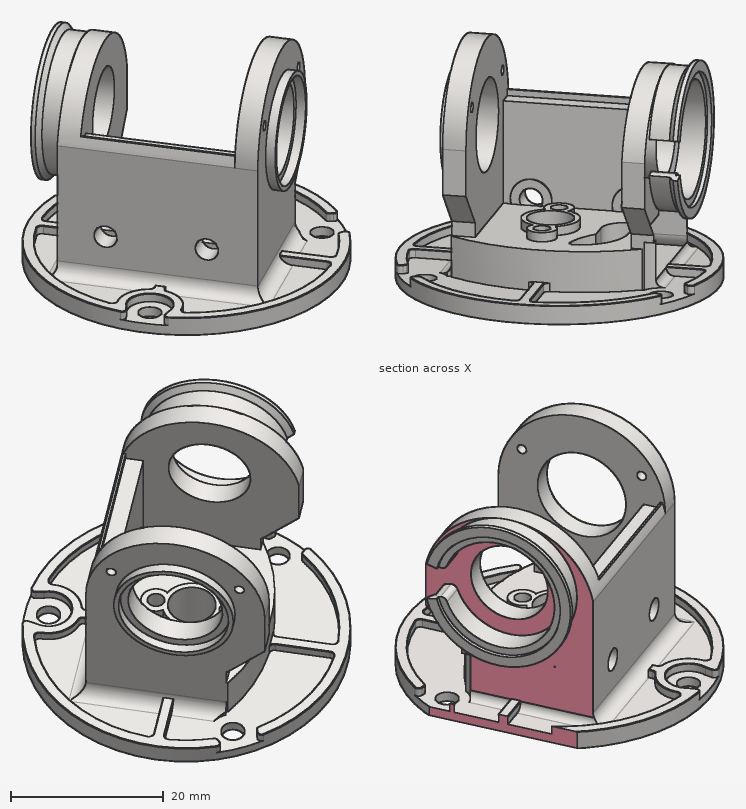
import cadquery as cq
import math

base_radius = 21.5
floor_z = 1.38
rim_z = 2.6
rim_width = 1.55
rib_width = 1.4
rib_overlap = 1.3
back_rib_start = 10.3
pocket_corner_radius = 0.7
rim_end_radius = 0.55
rim_edge_chamfer = 0.1

screw_circle_radius = 18.35
screw_angles = (30, 150, 270)
screw_hole_radius = 1.55
clearance_radius = 3.05
opening_half_width = 2.32
clearance_top_z = 7.9
collar_radius = 4.4

axis_y = 0.9
axis_z = 20.35
left_x = -14.55
right_x = 12.65
left_cheek_thickness = 3.05
right_cheek_thickness = 3.15
cheek_radius = 11.9
left_crown_height = 9.6
cheek_foot_y = 7.7
cheek_chamfer_z = 14.05
wall_thickness = 3.1
wall_top_z = 21.85
wall_ridge_y = -10.28
wall_ledge_z = 21.0
wall_hole_radius = 1.55
wall_hole_z = 7.75
wall_hole_xs = (-8.0, 5.7)
wall_pad_radius = 2.8
wall_pad_height = 0.15
left_skirt_radius = 1.1
skirt_radius = 1.95
front_y = axis_y - cheek_radius
back_y = axis_y + cheek_radius
wall_back_y = front_y + wall_thickness

deck_z = 6.95
deck_arc_radius = 25.25
deck_arc_center_y = -13.95
shaft_x = 1.0
shaft_hole_radius = 3.15
shaft_boss_radius = 3.85
shaft_screw_radius = 1.1
shaft_screw_boss_radius = 1.98
shaft_screw_offset = 4.77
shaft_boss_height = 1.25

hub_radius = 9.6
hub_length = 4.0
lip_radius = 10.4
lip_width = 0.6
lip_taper = 0.7
hub_bore_radius = 7.9
hub_recess_radius = 8.95
hub_recess_depth = 0.55
hub_gap_half_angle = 15
hub_gap_corner_radius = 0.8
left_bore_radius = 5.45

right_hub_radius = 7.95
right_hub_length = 1.3
right_hub_bore_radius = 7.3
right_bore_radius = 6.28
pin_hole_radius = 0.65
pin_circle_radius = 9.85
pin_angles = (30, 150)


def cylinder_z(x, y, radius, bottom, top):
    return cq.Workplane("XY", origin=(x, y, bottom)).circle(radius).extrude(top - bottom)


def cylinder_x(radius, start, end):
    """Cylinder on the pivot axis from x = start to x = end."""
    return cq.Workplane("YZ", origin=(start, axis_y, axis_z)).circle(radius).extrude(end - start)


def box(x0, x1, y0, y1, z0, z1):
    return cq.Workplane("XY").box(x1 - x0, y1 - y0, z1 - z0, centered=False).translate((x0, y0, z0))


def screw_center(angle):
    turn = math.radians(angle)
    return screw_circle_radius * math.cos(turn), screw_circle_radius * math.sin(turn)


def extrude_x(outline, start, end):
    """Prism along X of a YZ outline."""
    return outline.extrude(end - start).translate((start, 0, 0))


def base_plate():
    plate = cylinder_z(0, 0, base_radius, 0, floor_z)
    for angle in screw_angles:
        x, y = screw_center(angle)
        plate = plate.cut(cylinder_z(x, y, screw_hole_radius, 0, floor_z))
    return plate


def deck(top):
    """Bracket floor between the cheeks, with an arched back edge, from the thin floor up to top."""
    block = box(left_x, right_x, front_y, back_y, floor_z, top)
    return block.intersect(cylinder_z(0, deck_arc_center_y, deck_arc_radius, floor_z, top))


def cut_screw_clearance(body, top):
    """Clear a round space at each screw, opening through the rim with tapering sides."""
    reach = base_radius + 0.45 - screw_circle_radius
    for angle in screw_angles:
        x, y = screw_center(angle)
        opening = (
            cq.Workplane("XY")
            .polyline([
                (0, -clearance_radius),
                (reach, -opening_half_width),
                (reach, opening_half_width),
                (0, clearance_radius),
            ])
            .close()
            .extrude(top - floor_z)
            .rotate((0, 0, 0), (0, 0, 1), angle)
            .translate((x, y, floor_z))
        )
        body = body.cut(cylinder_z(x, y, clearance_radius, floor_z, top).union(opening))
    return body


def is_rim_end(edge):
    """True for the upright edges of the rim beside a screw opening."""
    spot = edge.Center()
    from_axis = math.hypot(spot.x, spot.y)
    to_screw = min(math.hypot(spot.x - x, spot.y - y) for x, y in map(screw_center, screw_angles))
    return from_axis > base_radius - rim_width - 0.1 and to_screw < opening_half_width + rim_width + 0.1


def is_pocket_corner(edge):
    """True for the upright edges where a rib or the collar meets the rim, or the front rib the collar."""
    spot = edge.Center()
    from_axis = math.hypot(spot.x, spot.y)
    return skirt_radius - front_y + 0.45 < from_axis < base_radius - 0.45


def rib_flare():
    """Widened root of the back rib, blending into the arched deck edge."""
    half_width = rib_width / 2 + pocket_corner_radius
    blend_y = deck_arc_center_y + math.sqrt((deck_arc_radius + pocket_corner_radius) ** 2 - half_width**2)
    flare = box(-half_width, half_width, back_rib_start, blend_y, floor_z, rim_z)
    for x in (-half_width, half_width):
        flare = flare.cut(cylinder_z(x, blend_y, pocket_corner_radius, floor_z, rim_z))
    return flare


def rim_and_ribs():
    half_rib = rib_width / 2
    rib_end = base_radius - rim_width / 2
    disc = cylinder_z(0, 0, base_radius, floor_z, rim_z)
    web = disc.cut(cylinder_z(0, 0, base_radius - rim_width, floor_z, rim_z))
    web = web.union(box(-half_rib, half_rib, -rib_end, front_y - skirt_radius, floor_z, rim_z))
    web = web.union(box(-half_rib, half_rib, back_rib_start, rib_end, floor_z, rim_z))
    web = web.union(box(-rib_end, left_x + rib_overlap, -half_rib, half_rib, floor_z, rim_z))
    web = web.union(box(right_x - rib_overlap, rib_end, -half_rib, half_rib, floor_z, rim_z))
    web = web.union(cylinder_z(0, -screw_circle_radius, collar_radius, floor_z, rim_z).intersect(disc))
    web = web.edges("|Z").filter(is_pocket_corner).fillet(pocket_corner_radius)
    web = cut_screw_clearance(web.union(rib_flare()), rim_z)
    web = web.edges("|Z").filter(is_rim_end).fillet(rim_end_radius)
    return web.faces(">Z").chamfer(rim_edge_chamfer)


def cheek_outline():
    foot_rise = back_y - cheek_foot_y
    return (
        cq.Workplane("YZ")
        .moveTo(front_y, floor_z)
        .lineTo(front_y, axis_z)
        .threePointArc((axis_y, axis_z + cheek_radius), (back_y, axis_z))
        .lineTo(back_y, cheek_chamfer_z)
        .lineTo(cheek_foot_y, cheek_chamfer_z - foot_rise)
        .lineTo(cheek_foot_y, floor_z)
        .close()
    )


def crown_space(start, end):
    """Space under the flatter crown of the left cheek."""
    outline = (
        cq.Workplane("YZ")
        .moveTo(front_y, floor_z)
        .lineTo(front_y, axis_z)
        .threePointArc((axis_y, axis_z + left_crown_height), (back_y, axis_z))
        .lineTo(back_y, floor_z)
        .close()
    )
    return extrude_x(outline, start, end)


def front_wall():
    wall = box(left_x, right_x, front_y, wall_back_y, floor_z, wall_top_z)
    wall = wall.intersect(crown_space(left_x, right_x))
    wall = wall.cut(box(left_x, right_x, wall_ridge_y, wall_back_y, wall_ledge_z, wall_top_z))
    for x in wall_hole_xs:
        pad = cq.Workplane("XZ", origin=(x, wall_back_y, wall_hole_z))
        wall = wall.union(pad.circle(wall_pad_radius).extrude(-wall_pad_height))
    return wall


def wall_holes():
    """Holes through the front wall and its pads."""
    pad_face = cq.Workplane("XZ", origin=(0, wall_back_y + wall_pad_height, wall_hole_z))
    centers = [(x, 0) for x in wall_hole_xs]
    return pad_face.pushPoints(centers).circle(wall_hole_radius).extrude(wall_thickness + wall_pad_height)


def foot_blend():
    """Concave blends from the floor to the front, left and right bracket faces, mitred at the corners."""
    def rising(flow, x, radius, side):
        """Quarter-round from (x + side * radius, floor) up to (x, floor + radius)."""
        bend = radius * (1 - math.sqrt(0.5))
        return flow.threePointArc((x + side * bend, floor_z + bend), (x, floor_z + radius))

    def falling(flow, x, radius, side):
        """Quarter-round from (x, floor + radius) down to (x + side * radius, floor)."""
        bend = radius * (1 - math.sqrt(0.5))
        return flow.threePointArc((x + side * bend, floor_z + bend), (x + side * radius, floor_z))

    across = cq.Workplane("XZ").moveTo(left_x - left_skirt_radius, floor_z)
    across = rising(across, left_x, left_skirt_radius, -1)
    across = across.lineTo(left_x, floor_z + skirt_radius).lineTo(right_x, floor_z + skirt_radius)
    across = falling(across, right_x, skirt_radius, 1).close()
    across = across.extrude(-2 * base_radius).translate((0, -base_radius, 0))

    along = cq.Workplane("YZ").moveTo(front_y - skirt_radius, floor_z)
    along = rising(along, front_y, skirt_radius, -1)
    along = along.lineTo(cheek_foot_y, floor_z + skirt_radius).lineTo(cheek_foot_y, floor_z).close()
    return across.intersect(extrude_x(along, -base_radius, base_radius))


def left_hub():
    start = left_x - hub_length
    neck_x = start + lip_width + lip_taper
    hub = cylinder_x(hub_radius, neck_x, left_x)
    lip = cylinder_x(lip_radius, start, neck_x).faces(">X").chamfer(lip_taper, lip_radius - hub_radius)
    hub = hub.union(lip).cut(cylinder_x(hub_bore_radius, start, left_x))

    spread = 2 * lip_radius
    half_gap = spread * math.tan(math.radians(hub_gap_half_angle))
    gap = (
        cq.Workplane("YZ", origin=(0, axis_y, axis_z))
        .polyline([(0, 0), (spread, half_gap), (spread, -half_gap)])
        .close()
    )
    hub = hub.cut(extrude_x(gap, start, left_x))
    inner_y = axis_y + hub_bore_radius * math.cos(math.radians(hub_gap_half_angle))
    inner = cq.selectors.BoxSelector((start, inner_y - 0.45, 0), (left_x, inner_y + 0.45, 2 * axis_z))
    hub = hub.edges("|X").edges(inner).fillet(hub_gap_corner_radius)
    return hub.cut(cylinder_x(hub_recess_radius, start, start + hub_recess_depth))


def bracket():
    left_inner = left_x + left_cheek_thickness
    right_inner = right_x - right_cheek_thickness
    left_cheek = extrude_x(cheek_outline(), left_x, left_inner).intersect(crown_space(left_x, left_inner))
    left_cheek = left_cheek.cut(cylinder_x(left_bore_radius, left_x, left_inner))

    right_end = right_x + right_hub_length
    right_cheek = extrude_x(cheek_outline(), right_inner, right_x)
    right_cheek = right_cheek.union(cylinder_x(right_hub_radius, right_x, right_end))
    right_cheek = right_cheek.cut(cylinder_x(right_hub_bore_radius, right_x, right_end))
    right_cheek = right_cheek.cut(cylinder_x(right_bore_radius, right_inner, right_x))
    for angle in pin_angles:
        dy = pin_circle_radius * math.cos(math.radians(angle))
        dz = pin_circle_radius * math.sin(math.radians(angle))
        right_cheek = right_cheek.cut(cylinder_x(pin_hole_radius, right_inner, right_x).translate((0, dy, dz)))

    body = deck(deck_z).union(front_wall()).union(left_cheek).union(right_cheek).union(left_hub())
    return cut_screw_clearance(body.union(foot_blend()), clearance_top_z)


def shaft_bosses():
    top = deck_z + shaft_boss_height
    bosses = cylinder_z(shaft_x, axis_y, shaft_boss_radius, deck_z, top)
    for side in (-1, 1):
        y = axis_y + side * shaft_screw_offset
        bosses = bosses.union(cylinder_z(shaft_x, y, shaft_screw_boss_radius, deck_z, top))
    return bosses


def shaft_holes():
    top = deck_z + shaft_boss_height
    holes = cylinder_z(shaft_x, axis_y, shaft_hole_radius, 0, top)
    for side in (-1, 1):
        y = axis_y + side * shaft_screw_offset
        holes = holes.union(cylinder_z(shaft_x, y, shaft_screw_radius, 0, top))
    return holes


def cable_slot():
    return (
        cq.Workplane("XY")
        .moveTo(-8.75, -3.22)
        .threePointArc((-9.55, -0.65), (-9.6, 1.95))
        .threePointArc((-8.05, 5.7), (-4.5, 7.83))
        .lineTo(-3.53, 7.85)
        .lineTo(-3.05, 7.25)
        .threePointArc((-4.0, 4.75), (-5.55, 2.65))
        .lineTo(-5.55, -0.1)
        .threePointArc((-6.55, -2.45), (-8.75, -3.22))
        .close()
        .extrude(deck_z)
    )


result = (
    bracket()
    .union(rim_and_ribs())
    .union(base_plate())
    .union(shaft_bosses())
    .cut(wall_holes())
    .cut(shaft_holes())
    .cut(cable_slot())
    .clean()
)